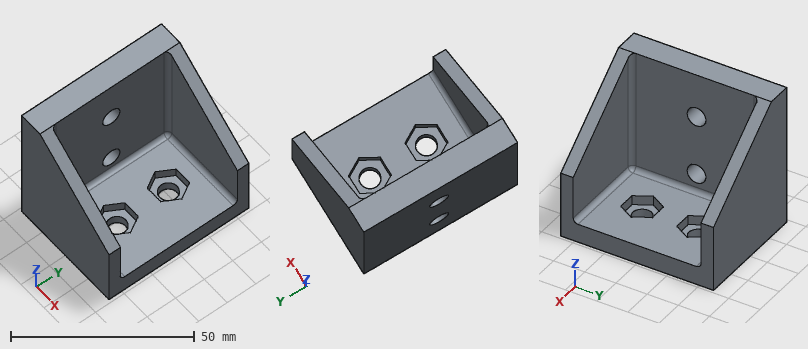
import cadquery as cq
import math

length = 38.0
width = 49.0
height = 45.0
front_height = 21.0

back_thickness = 8.0
side_thickness = 4.0
floor_thickness = 6.0
pocket_fillet = 1.5

hole_diameter = 6.0
hole_middle_y = 25.0
floor_hole_x = 21.65
floor_hole_spacing = 18.0
back_hole_heights = (12.0, 31.0)
nut_across_flats = 10.1
nut_depth = 3.0


def make_block():
    """Block with a flat top over the back wall and a slope down to the open end."""
    return (
        cq.Workplane("XZ")
        .polyline([
            (0, 0),
            (length, 0),
            (length, front_height),
            (back_thickness, height),
            (0, height),
        ])
        .close()
        .extrude(-width)
    )


def make_pocket():
    """Pocket open at the top and at +X, with rounded inner corners."""
    overrun = 2 * pocket_fillet
    return (
        cq.Workplane("XY")
        .box(
            length - back_thickness + overrun,
            width - 2 * side_thickness,
            height - floor_thickness + overrun,
            centered=False,
        )
        .edges("(<X and |Z) or <Z")
        .edges("not >X")
        .fillet(pocket_fillet)
        .translate((back_thickness, side_thickness, floor_thickness))
    )


def cut_floor_holes(body):
    """Vertical bolt holes, each with a nut recess in the pocket floor."""
    nut_across_corners = nut_across_flats / math.cos(math.pi / 6)
    centers = [
        (floor_hole_x, hole_middle_y - floor_hole_spacing / 2),
        (floor_hole_x, hole_middle_y + floor_hole_spacing / 2),
    ]
    holes = (
        cq.Workplane("XY")
        .pushPoints(centers)
        .circle(hole_diameter / 2)
        .extrude(floor_thickness)
    )
    nuts = (
        cq.Workplane("XY", origin=(0, 0, floor_thickness - nut_depth))
        .pushPoints(centers)
        .polygon(6, nut_across_corners)
        .extrude(nut_depth)
    )
    return body.cut(holes).cut(nuts)


def cut_back_holes(body):
    """Horizontal bolt holes, one above the other, through the back wall."""
    holes = (
        cq.Workplane("YZ")
        .pushPoints([(hole_middle_y, z) for z in back_hole_heights])
        .circle(hole_diameter / 2)
        .extrude(back_thickness + pocket_fillet)
    )
    return body.cut(holes)


bracket = make_block().cut(make_pocket())
result = cut_back_holes(cut_floor_holes(bracket))